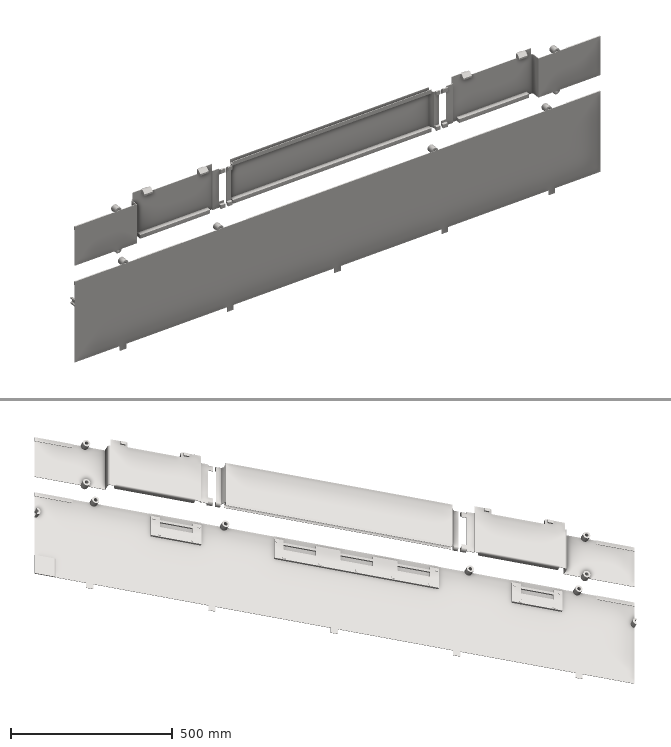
import cadquery as cq


LENGTH = 1958.0
HALF_LENGTH = LENGTH / 2
SHEET = 2.0
SHEET_FRONT = -SHEET

BOSS_RADIUS = 12.0
BOSS_HOLE_RADIUS = 5.0
BOSS_FRONT = -23.0

STRIP_LENGTH = 123.0
STRIP_HEIGHT = 14.0
STRIP_RISE = 2.0

PANEL_TOP = 295.0
TAB_WIDTH = 23.0
TAB_DROP = 18.0
TAB_PITCH = 400.0
TAB_COUNT = 5
PANEL_BOSS_YS = (787.0, 362.0, -437.0, -791.0)
END_BOSS_Z = 215.0
PATCH_WIDTH = 70.0
PATCH_HEIGHT = 67.0
PATCH_BEVEL = 5.0
PATCH_RISE = 2.0

PADS_MIDDLE_Y = -70.0
SIDE_PAD_OFFSET = 590.0
SIDE_PAD_WIDTH = 165.0
CENTRE_PAD_WIDTH = 537.0
PAD_BOTTOM = 213.0
PAD_TOP = 284.0
PAD_RISE = 5.0
BACKING_RISE = 2.0
POCKET_PITCH = 186.0
POCKET_WIDTH = 105.0
POCKET_BOTTOM = 249.0
LOUVRE_BOTTOM = 266.0
LOUVRE_HEIGHT = 8.0
RIVET_RADIUS = 5.0
RIVET_RISE = 2.0
RIVET_INSET = 8.0
SIDE_RIVET_PITCH = 110.0
CENTRE_RIVET_PITCH = 120.0
CENTRE_RIVET_COUNT = 5
BACKING_FRONT = SHEET_FRONT - BACKING_RISE
PAD_FRONT = BACKING_FRONT - PAD_RISE

LEDGE_FRONT = -30.0
LEDGE_BACK = LEDGE_FRONT + SHEET
LIP_DEPTH = 12.0
LIP_HEIGHT = 14.0
LIP_RADIUS = 10.0

BRACKET_BOTTOM = 355.0
BRACKET_TOP = 497.0
BRACKET_HEIGHT = BRACKET_TOP - BRACKET_BOTTOM
BRACKET_BOSS_Y = 817.0
BRACKET_END_Y = 405.0
NOTCH_Y = 423.0
ARM_HEIGHT = 22.0
BOX_FRONT = -33.0
BOX_BACK = BOX_FRONT + SHEET
BOX_OUTER_Y = 750.0
BOX_INNER_Y = 446.0
BEND_RADIUS = 5.0
BOX_TOP = 503.0
EAR_TOP = 520.0
NARROW_EAR_WIDTH = 55.0
WIDE_EAR_WIDTH = 65.0
HOOK_WIDTH = 31.0
HOOK_DEPTH = 18.0
HOOK_HEIGHT = 15.0
HOOK_SLOPE = 10.0
BEAD_WIDTH = 18.0
BEAD_HEIGHT = 10.0
BEAD_RISE = 5.0
FOOT_OUTER_Y = 725.0
FOOT_INNER_Y = 465.0
FOOT_DEPTH = 18.0
FOOT_HEIGHT = 14.0
FOOT_RADIUS = 5.0

COVER_FRONT = -47.0
COVER_BACK = LEDGE_FRONT
COVER_BOTTOM = 349.0
COVER_TOP = 503.0
COVER_FACE_Y = 370.0
COVER_FOOT_Y = 380.0
COVER_END_Y = 395.0
COVER_WALL_INSET = 12.0
RIM_BEVEL_WIDTH = 8.0
RIM_BEVEL_DEPTH = 1.0


def block(x_range, y_range, z_range):
    """Box that spans a range of X, Y and Z, each given as two ends in either order."""
    (x0, x1), (y0, y1), (z0, z1) = sorted(x_range), sorted(y_range), sorted(z_range)
    return cq.Workplane("XY", origin=(x0, y0, z0)).box(x1 - x0, y1 - y0, z1 - z0, centered=False)


def around(middle, width):
    """Ends of a range of the given width about its middle."""
    return (middle - width / 2, middle + width / 2)


def spaced(middle, pitch, count):
    """Evenly spaced positions about a middle."""
    return [middle + (i - (count - 1) / 2) * pitch for i in range(count)]


def ring_boss(y, z):
    """Ring with its axis along X, from the back of the sheet to BOSS_FRONT."""
    ring = cq.Workplane("YZ", origin=(BOSS_FRONT, y, z)).circle(BOSS_RADIUS).circle(BOSS_HOLE_RADIUS)
    return ring.extrude(-BOSS_FRONT)


def corner_strip(side, top):
    """Thin raised strip along the top edge at the +Y (side 1) or -Y (side -1) end."""
    return block(
        (SHEET_FRONT - STRIP_RISE, SHEET_FRONT),
        (side * (HALF_LENGTH - STRIP_LENGTH), side * HALF_LENGTH),
        (top - STRIP_HEIGHT, top),
    )


def ledge_lip(y_range, edge, inward):
    """Lip bent back from a ledge edge; inward is the Z direction towards the ledge middle."""
    lip = block(
        (LEDGE_FRONT, LEDGE_FRONT + LIP_DEPTH),
        y_range,
        (edge, edge + inward * LIP_HEIGHT),
    )
    outer_face = ">Z" if inward < 0 else "<Z"
    return lip.faces("<X").edges(outer_face).fillet(LIP_RADIUS)


def pad(middle, width, pocket_ys, rivet_ys):
    """Pad on a thin backing, with open-topped pockets, a louvre in each pocket and rivets."""
    backing = block((BACKING_FRONT, SHEET_FRONT), around(middle, width), (PAD_BOTTOM, PANEL_TOP))
    body = block((PAD_FRONT, BACKING_FRONT), around(middle, width), (PAD_BOTTOM, PAD_TOP))
    for y in pocket_ys:
        pocket_range = around(y, POCKET_WIDTH)
        body = body.cut(block((PAD_FRONT, BACKING_FRONT), pocket_range, (POCKET_BOTTOM, PAD_TOP)))
        louvre_range = (LOUVRE_BOTTOM, LOUVRE_BOTTOM + LOUVRE_HEIGHT)
        body = body.union(block((PAD_FRONT, BACKING_FRONT), pocket_range, louvre_range))

    corner_offset = width / 2 - RIVET_INSET
    rivet_points = [(y, PAD_BOTTOM + RIVET_INSET) for y in rivet_ys]
    rivet_points += [(middle + side * corner_offset, PAD_TOP - RIVET_INSET) for side in (-1, 1)]
    rivets = (
        cq.Workplane("YZ", origin=(PAD_FRONT - RIVET_RISE, 0, 0))
        .pushPoints(rivet_points)
        .circle(RIVET_RADIUS)
        .extrude(RIVET_RISE + PAD_RISE)
    )
    return backing.union(body).union(rivets)


def corner_patch():
    """Shallow raised patch in the lower +Y corner, bevelled along its inner side."""
    inner_y = HALF_LENGTH - PATCH_WIDTH
    outline = [
        (SHEET_FRONT, HALF_LENGTH),
        (SHEET_FRONT - PATCH_RISE, HALF_LENGTH),
        (SHEET_FRONT - PATCH_RISE, inner_y + PATCH_BEVEL),
        (SHEET_FRONT, inner_y),
    ]
    return cq.Workplane("XY").polyline(outline).close().extrude(PATCH_HEIGHT)


def make_panel():
    panel_range = (-HALF_LENGTH, HALF_LENGTH)
    panel = block((SHEET_FRONT, 0), panel_range, (0, PANEL_TOP))

    for y in spaced(0, TAB_PITCH, TAB_COUNT):
        panel = panel.union(block((SHEET_FRONT, 0), around(y, TAB_WIDTH), (-TAB_DROP, 0)))

    for y in PANEL_BOSS_YS:
        panel = panel.union(ring_boss(y, PANEL_TOP))
    length_limit = block((BOSS_FRONT, 0), panel_range, (0, PANEL_TOP))
    for side in (-1, 1):
        panel = panel.union(ring_boss(side * HALF_LENGTH, END_BOSS_Z).intersect(length_limit))
        panel = panel.union(corner_strip(side, PANEL_TOP))

    for side in (-1, 1):
        y = PADS_MIDDLE_Y + side * SIDE_PAD_OFFSET
        panel = panel.union(pad(y, SIDE_PAD_WIDTH, [y], spaced(y, SIDE_RIVET_PITCH, 2)))
    centre_pockets = spaced(PADS_MIDDLE_Y, POCKET_PITCH, 3)
    centre_rivets = spaced(PADS_MIDDLE_Y, CENTRE_RIVET_PITCH, CENTRE_RIVET_COUNT)
    panel = panel.union(pad(PADS_MIDDLE_Y, CENTRE_PAD_WIDTH, centre_pockets, centre_rivets))

    return panel.union(corner_patch())


def bracket_sheet():
    """End plate, step wall, box face and ledge as one bent sheet of constant height."""
    outline = [
        (0, HALF_LENGTH),
        (SHEET_FRONT, HALF_LENGTH),
        (SHEET_FRONT, BOX_OUTER_Y),
        (BOX_FRONT, BOX_OUTER_Y),
        (BOX_FRONT, BOX_INNER_Y),
        (LEDGE_FRONT, BOX_INNER_Y),
        (LEDGE_FRONT, NOTCH_Y),
        (LEDGE_BACK, NOTCH_Y),
        (LEDGE_BACK, BOX_INNER_Y + SHEET),
        (BOX_BACK, BOX_INNER_Y + SHEET),
        (BOX_BACK, BOX_OUTER_Y - SHEET),
        (0, BOX_OUTER_Y - SHEET),
    ]
    sheet = cq.Workplane("XY", origin=(0, 0, BRACKET_BOTTOM)).polyline(outline).close()
    sheet = sheet.extrude(BRACKET_HEIGHT)

    bends = [
        (BOX_FRONT, BOX_OUTER_Y, BEND_RADIUS + SHEET),
        (BOX_BACK, BOX_OUTER_Y - SHEET, BEND_RADIUS),
    ]
    for x, y, radius in bends:
        corner = cq.selectors.NearestToPointSelector((x, y, BRACKET_BOTTOM + BRACKET_HEIGHT / 2))
        sheet = sheet.edges(corner).fillet(radius)
    return sheet


def ear_hook(y):
    """Hook behind the top of an ear, sloped at its upper back edge, with a bead in front."""
    hook = block(
        (BOX_FRONT, BOX_FRONT + HOOK_DEPTH),
        around(y, HOOK_WIDTH),
        (EAR_TOP - HOOK_HEIGHT, EAR_TOP),
    )
    hook = hook.faces(">X").edges(">Z").chamfer(HOOK_SLOPE)
    bead = block(
        (BOX_FRONT - BEAD_RISE, BOX_FRONT),
        around(y, BEAD_WIDTH),
        around(EAR_TOP - HOOK_HEIGHT / 2, BEAD_HEIGHT),
    )
    return hook.union(bead)


def box_foot():
    """Foot bent back from the lower edge of the box face."""
    foot = block(
        (BOX_FRONT, BOX_FRONT + FOOT_DEPTH),
        (FOOT_INNER_Y, FOOT_OUTER_Y),
        (BRACKET_BOTTOM, BRACKET_BOTTOM + FOOT_HEIGHT),
    )
    return foot.faces("<X").edges("<Z").fillet(FOOT_RADIUS)


def make_bracket(outer_ear_width, inner_ear_width):
    """Bracket at the +Y end."""
    bracket = bracket_sheet()
    face_outer_y = BOX_OUTER_Y - BEND_RADIUS - SHEET
    face_depth = (BOX_FRONT, BOX_BACK)

    face_range = (BOX_INNER_Y, face_outer_y)
    bracket = bracket.union(block(face_depth, face_range, (BRACKET_TOP, BOX_TOP)))
    ears = ((face_outer_y, outer_ear_width, -1), (BOX_INNER_Y, inner_ear_width, 1))
    for end_y, width, inward in ears:
        ear_inner_y = end_y + inward * width
        bracket = bracket.union(block(face_depth, (end_y, ear_inner_y), (BOX_TOP, EAR_TOP)))
        bracket = bracket.union(ear_hook(ear_inner_y - inward * HOOK_WIDTH / 2))

    foot_range = (FOOT_INNER_Y, FOOT_OUTER_Y)
    foot_height = (BRACKET_BOTTOM, BRACKET_BOTTOM + FOOT_HEIGHT)
    bracket = bracket.cut(block(face_depth, foot_range, foot_height)).union(box_foot())

    arm_range = (BRACKET_END_Y, NOTCH_Y)
    for edge, inward in ((BRACKET_BOTTOM, 1), (BRACKET_TOP, -1)):
        arm_height = (edge + inward * LIP_HEIGHT, edge + inward * ARM_HEIGHT)
        bracket = bracket.union(block((LEDGE_FRONT, LEDGE_BACK), arm_range, arm_height))
        bracket = bracket.union(ledge_lip(arm_range, edge, inward))
        bracket = bracket.union(ring_boss(BRACKET_BOSS_Y, edge))

    return bracket.union(corner_strip(1, BRACKET_TOP))


def cover_face():
    """Face plate whose long edges are bevelled very slightly at the front."""
    bevel_front = COVER_FRONT + RIM_BEVEL_DEPTH
    face_back = COVER_FRONT + SHEET
    outline = [
        (face_back, COVER_BOTTOM),
        (bevel_front, COVER_BOTTOM),
        (COVER_FRONT, COVER_BOTTOM + RIM_BEVEL_WIDTH),
        (COVER_FRONT, COVER_TOP - RIM_BEVEL_WIDTH),
        (bevel_front, COVER_TOP),
        (face_back, COVER_TOP),
    ]
    return cq.Workplane("XZ").polyline(outline).close().extrude(COVER_FACE_Y, both=True)


def cover_end(side):
    """Sloping end wall and the flat ledge beyond it, with a lip at its top and bottom."""
    wall_bottom = COVER_BOTTOM + COVER_WALL_INSET
    wall_top = COVER_TOP - COVER_WALL_INSET
    outline = [
        (COVER_FRONT + RIM_BEVEL_DEPTH, side * (COVER_FACE_Y - SHEET)),
        (COVER_FRONT + RIM_BEVEL_DEPTH, side * COVER_FACE_Y),
        (LEDGE_FRONT, side * COVER_FOOT_Y),
        (LEDGE_FRONT, side * COVER_END_Y),
        (LEDGE_BACK, side * COVER_END_Y),
        (LEDGE_BACK, side * (COVER_FOOT_Y - SHEET)),
    ]
    end = cq.Workplane("XY", origin=(0, 0, wall_bottom)).polyline(outline).close()
    end = end.extrude(wall_top - wall_bottom)

    ledge_range = (side * COVER_FOOT_Y, side * COVER_END_Y)
    for edge, inward in ((BRACKET_BOTTOM, 1), (BRACKET_TOP, -1)):
        end = end.cut(block((LEDGE_FRONT, LEDGE_BACK), ledge_range, (edge, edge + inward * LIP_HEIGHT)))
        end = end.union(ledge_lip(ledge_range, edge, inward))
    return end


def make_cover():
    cover = cover_face()
    face_range = (-COVER_FACE_Y, COVER_FACE_Y)

    for edge, inward in ((COVER_BOTTOM, 1), (COVER_TOP, -1)):
        wall_outside = edge + inward * COVER_WALL_INSET
        wall_inside = wall_outside + inward * SHEET
        cover = cover.union(block((COVER_FRONT + SHEET, COVER_BACK), face_range, (wall_outside, wall_inside)))
        cover = cover.union(block((COVER_BACK - SHEET, COVER_BACK), face_range, (edge, wall_inside)))

    for side in (-1, 1):
        cover = cover.union(cover_end(side))
    return cover


panel = make_panel()
cover = make_cover()
left_bracket = make_bracket(NARROW_EAR_WIDTH, WIDE_EAR_WIDTH)
right_bracket = make_bracket(WIDE_EAR_WIDTH, NARROW_EAR_WIDTH).mirror("XZ")

result = cq.Compound.makeCompound(
    [body.solids().val() for body in (panel, cover, left_bracket, right_bracket)]
)